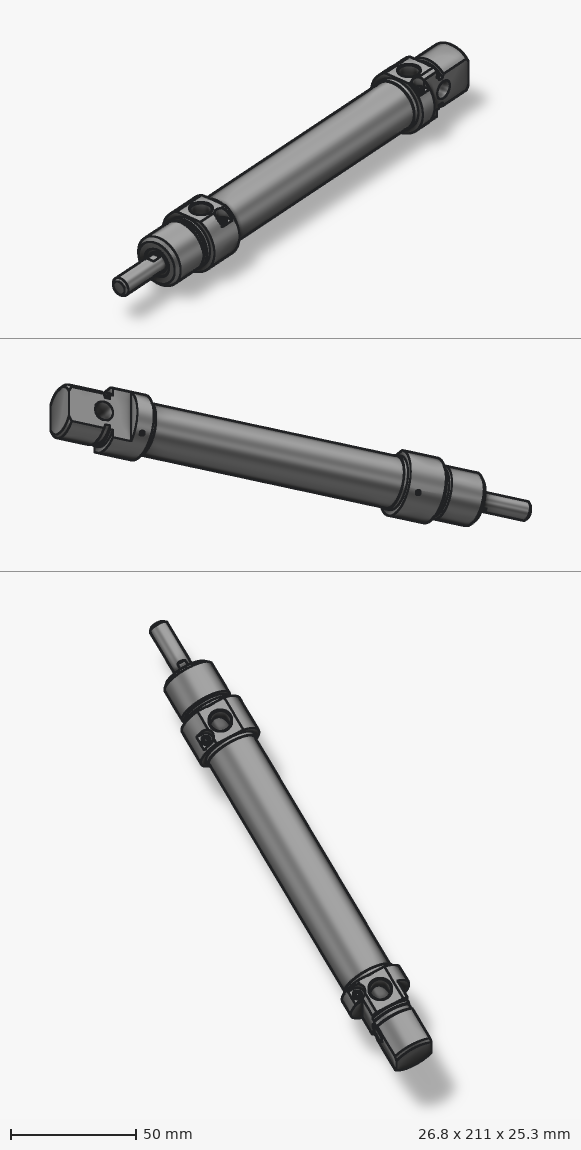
import cadquery as cq
import math


total_length = 211.0
front_face_y = 23.8
front_thread_end_y = 39.9
front_collar_y = 42.2
front_flange_start_y = 43.9
front_flange_end_y = 59.7
front_cap_end_y = 61.5
rear_cap_start_y = 173.2
rear_flange_start_y = 175.5
rear_flange_end_y = 191.2
rear_collar_end_y = 192.5
rear_thread_start_y = 195.2

thread_radius = 22.0 / 2
collar_radius = 22.2 / 2
groove_radius = 10.0
flange_radius = 26.8 / 2
flange_flat_z = 11.92
front_chamfer = 1.7
rear_chamfer = 1.3
thread_runout = 0.6

tenon_width = 16.0
tenon_end_y = 183.0
pivot_diameter = 8.0
pivot_y = 195.2

port_diameter = 8.7
port_rim_diameter = 9.5
port_chamfer = (port_rim_diameter - port_diameter) / 2
port_core_radius = 4.9
front_port_y = (front_flange_start_y + front_flange_end_y) / 2
rear_port_y = 183.1

front_screw_y = 55.0
rear_screw_y = 179.5
screw_x = 8.5
recess_width = 6.3
recess_floor_z = 7.5
screw_diameter = 3.5
screw_top_diameter = 2.5
screw_chamfer = (screw_diameter - screw_top_diameter) / 2
screw_top_z = 8.9
screw_bottom_z = 5.0
screw_socket_diameter = 1.8
screw_socket_depth = 1.0
bleed_diameter = 2.0
bleed_depth = 2.1
bleed_angle = 35.0

barrel_radius = 21.3 / 2
rod_diameter = 8.0
rod_tip_diameter = 6.0
rod_chamfer = (rod_diameter - rod_tip_diameter) / 2
rod_flat_width = 7.2
rod_flat_start_y = 19.2
seal_diameter = 12.0
seal_lip_diameter = 9.0
seal_gap_diameter = 8.7
seal_mouth_chamfer = 0.2
seal_recess = 0.6
seal_length = 2.1
seal_face_y = front_face_y + seal_recess
seal_back_y = seal_face_y + seal_length
seal_lip_depth = 0.6
seal_lip_chamfer = (seal_lip_diameter - seal_gap_diameter) / 2


def turned(points):
    """Revolve a closed outline of (radius, y) points about the Y axis."""
    outline = cq.Workplane("XY").polyline(points).close()
    return outline.revolve(360, (0, 0, 0), (0, 1, 0))


def disc(radius, start_y, end_y):
    """Cylinder on the Y axis between two stations."""
    return turned([(0, start_y), (radius, start_y), (radius, end_y), (0, end_y)])


def upright(diameter, x, y, bottom_z, top_z):
    """Vertical cylinder between two heights."""
    base = cq.Workplane("XY", origin=(x, y, bottom_z))
    return base.circle(diameter / 2).extrude(top_z - bottom_z)


def cut_top_flat(cap, start_y, end_y):
    """Plane off the top of a flange."""
    length = end_y - start_y
    block = cq.Workplane("XY", origin=(0, (start_y + end_y) / 2, flange_flat_z))
    return cap.cut(block.rect(2 * flange_radius, length).extrude(flange_radius))


def cut_port(cap, port_y):
    """Air port sunk from the top flat down to a round core on the axis."""
    port = upright(port_diameter, 0, port_y, 0, flange_flat_z)
    rim = (
        cq.Workplane("XY", origin=(0, port_y, flange_flat_z))
        .circle(port_rim_diameter / 2)
        .workplane(offset=-port_chamfer)
        .circle(port_diameter / 2)
        .loft(ruled=True)
    )
    core = disc(port_core_radius, port_y - port_diameter, port_y + port_diameter)
    return cap.cut(port.cut(core)).cut(rim)


def cut_screw_seat(cap, screw_y):
    """Recess open towards +X, with a hole in its floor for the cushion screw."""
    height = flange_radius - recess_floor_z
    round_end = upright(recess_width, screw_x, screw_y, recess_floor_z, flange_radius)
    open_side = (
        cq.Workplane("XY", origin=(screw_x, screw_y, recess_floor_z))
        .box(flange_radius, recess_width, height, centered=(False, True, False))
    )
    hole = upright(screw_diameter, screw_x, screw_y, screw_bottom_z, recess_floor_z)
    return cap.cut(round_end).cut(open_side).cut(hole)


def cut_bleed_hole(cap, hole_y):
    """Small radial hole low on the -X side of the flange."""
    angle = math.radians(bleed_angle)
    outward = cq.Vector(-math.cos(angle), 0, -math.sin(angle))
    start = outward * flange_radius + cq.Vector(0, hole_y, 0)
    hole = cq.Solid.makeCylinder(bleed_diameter / 2, bleed_depth, start, outward * -1)
    return cap.cut(cq.Workplane(hole))


def make_front_cap():
    cap = turned([
        (0, front_face_y),
        (thread_radius - front_chamfer, front_face_y),
        (thread_radius, front_face_y + front_chamfer),
        (thread_radius, front_thread_end_y),
        (groove_radius, front_thread_end_y + thread_runout),
        (groove_radius, front_collar_y),
        (collar_radius, front_collar_y),
        (collar_radius, front_flange_start_y),
        (flange_radius, front_flange_start_y),
        (flange_radius, front_flange_end_y),
        (collar_radius, front_flange_end_y),
        (collar_radius, front_cap_end_y),
        (0, front_cap_end_y),
    ])
    cap = cut_top_flat(cap, front_flange_start_y, front_flange_end_y)
    cap = cut_port(cap, front_port_y)
    cap = cut_screw_seat(cap, front_screw_y)
    cap = cut_bleed_hole(cap, front_screw_y)
    cap = cap.cut(disc(rod_diameter / 2, front_face_y, front_cap_end_y))
    seal_seat = turned([
        (0, front_face_y),
        (seal_diameter / 2 + seal_mouth_chamfer, front_face_y),
        (seal_diameter / 2, front_face_y + seal_mouth_chamfer),
        (seal_diameter / 2, seal_back_y),
        (0, seal_back_y),
    ])
    return cap.cut(seal_seat)


def make_rear_cap():
    cap = turned([
        (0, rear_cap_start_y),
        (collar_radius, rear_cap_start_y),
        (collar_radius, rear_flange_start_y),
        (flange_radius, rear_flange_start_y),
        (flange_radius, rear_flange_end_y),
        (thread_radius, rear_flange_end_y),
        (thread_radius, rear_collar_end_y),
        (groove_radius, rear_collar_end_y),
        (groove_radius, rear_thread_start_y - thread_runout),
        (thread_radius, rear_thread_start_y),
        (thread_radius, total_length - rear_chamfer),
        (thread_radius - rear_chamfer, total_length),
        (0, total_length),
    ])
    cap = cut_top_flat(cap, rear_flange_start_y, rear_flange_end_y)
    tenon_length = total_length - tenon_end_y
    for side in (-1, 1):
        slab_x = side * (tenon_width / 2 + flange_radius / 2)
        slab = cq.Workplane("XY").box(flange_radius, tenon_length, 2 * flange_radius)
        cap = cap.cut(slab.translate((slab_x, tenon_end_y + tenon_length / 2, 0)))
    pivot = cq.Workplane("YZ", origin=(-flange_radius, pivot_y, 0))
    cap = cap.cut(pivot.circle(pivot_diameter / 2).extrude(2 * flange_radius))
    cap = cut_port(cap, rear_port_y)
    cap = cut_screw_seat(cap, rear_screw_y)
    return cut_bleed_hole(cap, rear_screw_y)


def make_barrel():
    return disc(barrel_radius, front_cap_end_y, rear_cap_start_y)


def make_rod():
    rod = turned([
        (0, 0),
        (rod_tip_diameter / 2, 0),
        (rod_diameter / 2, rod_chamfer),
        (rod_diameter / 2, front_cap_end_y),
        (0, front_cap_end_y),
    ])
    flat_z = rod_flat_width / 2
    ramp = rod_diameter / 2 - flat_z
    for side in (-1, 1):
        cutter = (
            cq.Workplane("YZ", origin=(-rod_diameter / 2, 0, 0))
            .moveTo(rod_flat_start_y, side * (flat_z + ramp))
            .lineTo(rod_flat_start_y + ramp, side * flat_z)
            .lineTo(front_face_y, side * flat_z)
            .lineTo(front_face_y, side * (flat_z + ramp))
            .close()
            .extrude(rod_diameter)
        )
        rod = rod.cut(cutter)
    return rod


def make_seal():
    return turned([
        (rod_diameter / 2, seal_face_y + seal_lip_depth),
        (seal_gap_diameter / 2, seal_face_y + seal_lip_depth),
        (seal_gap_diameter / 2, seal_face_y + seal_lip_chamfer),
        (seal_lip_diameter / 2, seal_face_y),
        (seal_diameter / 2, seal_face_y),
        (seal_diameter / 2, seal_back_y),
        (rod_diameter / 2, seal_back_y),
    ])


def make_screw(screw_y):
    screw = upright(screw_diameter, screw_x, screw_y, screw_bottom_z, screw_top_z)
    screw = screw.faces(">Z").chamfer(screw_chamfer)
    socket_bottom_z = screw_top_z - screw_socket_depth
    return screw.cut(upright(screw_socket_diameter, screw_x, screw_y, socket_bottom_z, screw_top_z))


front_cap = make_front_cap()
rear_cap = make_rear_cap()
barrel = make_barrel()
rod = make_rod()
seal = make_seal()
screws = [make_screw(screw_y) for screw_y in (front_screw_y, rear_screw_y)]

result = cq.Compound.makeCompound([
    front_cap.val(),
    rear_cap.val(),
    barrel.val(),
    rod.val(),
    seal.val(),
    *[screw.val() for screw in screws],
])